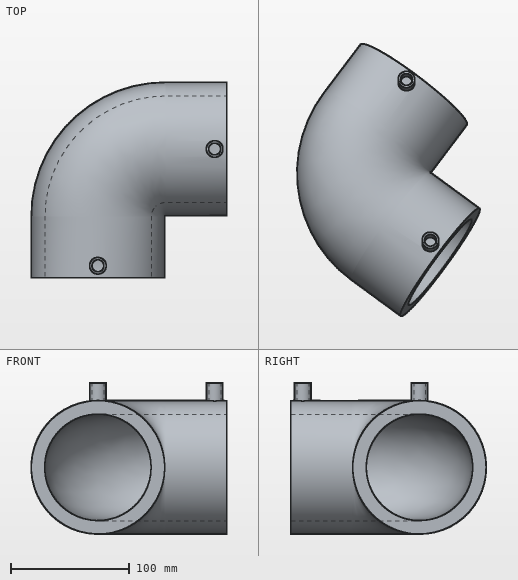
import cadquery as cq

outer_diameter = 113.0
bore_diameter = 90.0
overall_length = 165.5
overall_height = 128.0
leg_length = 52.0
terminal_diameter = 14.0
terminal_hole_diameter = 10.1
terminal_inset = 10.3

outer_radius = outer_diameter / 2
bend_radius = overall_length - leg_length - outer_radius
terminal_top = overall_height - outer_radius
terminal_distance = bend_radius + leg_length - terminal_inset

terminal_positions = [(0, -terminal_distance), (terminal_distance, 0)]


def elbow(diameter):
    """Solid 90 degree bend with a straight leg at each end."""
    radius = diameter / 2
    y_leg = cq.Workplane("XZ", origin=(0, -bend_radius, 0)).circle(radius).extrude(leg_length)
    x_leg = cq.Workplane("YZ", origin=(bend_radius, 0, 0)).circle(radius).extrude(leg_length)
    bend = (
        cq.Workplane("XZ", origin=(0, -bend_radius, 0))
        .circle(radius)
        .revolve(90, (bend_radius, 0, 0), (bend_radius, -1, 0))
    )
    return bend.union(y_leg).union(x_leg)


def terminals():
    """Upright tubes that rise from the tube axis level, one on each leg."""
    return (
        cq.Workplane("XY")
        .pushPoints(terminal_positions)
        .circle(terminal_diameter / 2)
        .circle(terminal_hole_diameter / 2)
        .extrude(terminal_top)
    )


result = elbow(outer_diameter).union(terminals()).cut(elbow(bore_diameter))